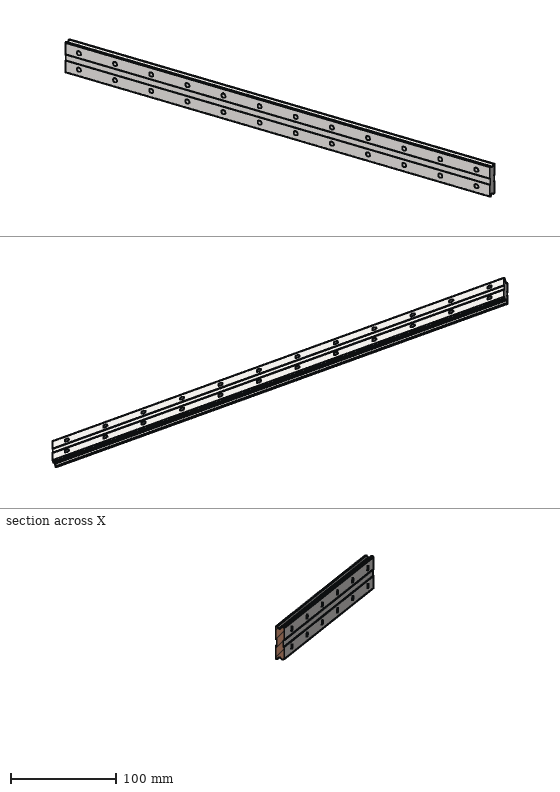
import cadquery as cq
import math

length = 470.0
thickness = 9.0
height = 33.0

channel_width = 6.5
channel_depth = 0.7

front_bevel = 0.5
back_bevel_run = 1.5
back_bevel_drop = 1.0

groove_depth = 2.1
groove_back = 2.1
groove_floor_front = -1.5
front_wall_angle = 60.0

hole_diameter = 4.45
holes_per_row = 12
end_margin = 15.0
row_spacing = 18.0
hole_pitch = (length - 2 * end_margin) / (holes_per_row - 1)


def upper_outline():
    """(y, z) corners of the half section above mid-height, from the -Y channel to the +Y channel."""
    front = -thickness / 2
    back = thickness / 2
    top = height / 2
    channel_top = channel_width / 2
    groove_floor = top - groove_depth
    groove_floor_back = groove_back - groove_depth
    groove_front = groove_floor_front - groove_depth / math.tan(math.radians(front_wall_angle))
    return [
        (front + channel_depth, channel_top),
        (front, channel_top),
        (front, top - front_bevel),
        (front + front_bevel, top),
        (groove_front, top),
        (groove_floor_front, groove_floor),
        (groove_floor_back, groove_floor),
        (groove_back, top),
        (back - back_bevel_run, top),
        (back, top - back_bevel_drop),
        (back, channel_top),
        (back - channel_depth, channel_top),
    ]


def make_bar():
    """Extrude the section, which is mirrored about mid-height, along the full length."""
    upper = upper_outline()
    lower = [(y, -z) for y, z in reversed(upper)]
    return cq.Workplane("YZ").polyline(upper + lower).close().extrude(length / 2, both=True)


def make_hole_pins():
    """Cylinders that cut both rows of holes through the thickness."""
    return (
        cq.Workplane("XZ")
        .rarray(hole_pitch, row_spacing, holes_per_row, 2)
        .circle(hole_diameter / 2)
        .extrude(thickness, both=True)
    )


result = make_bar().cut(make_hole_pins())